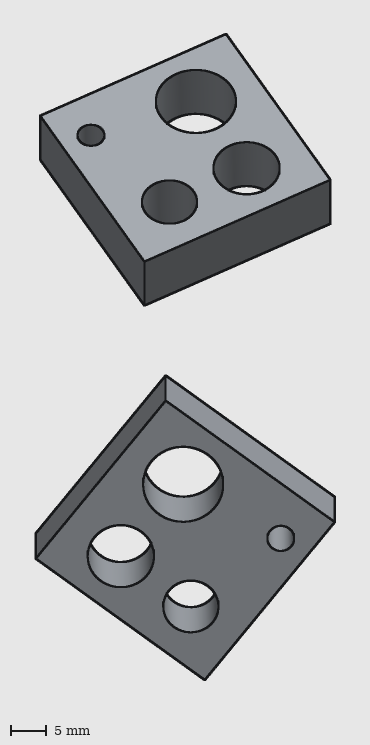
import cadquery as cq

side = 30.0
height = 10.0

right_column_x = 7.4
holes = [
    (-6.5, 5.37, 11.28),
    (right_column_x, 5.73, 9.33),
    (right_column_x, -6.7, 7.77),
    (-8.43, -10.47, 3.78),
]

result = cq.Workplane("XY").box(side, side, height)

for x, y, diameter in holes:
    result = result.faces(">Z").workplane(origin=(0, 0, 0)).center(x, y).hole(diameter)